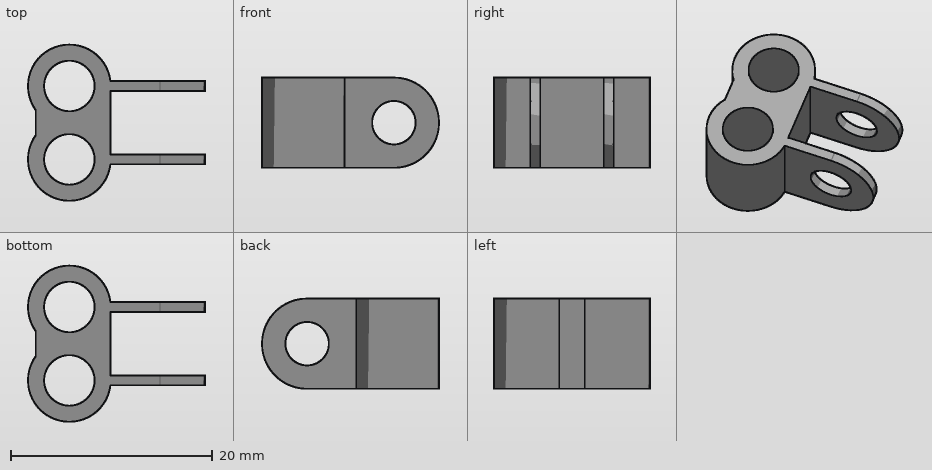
import cadquery as cq
import math

height = 9.0

tube_diameter = 8.25
bore_diameter = 5.0
tube_spacing = 7.3
tube_radius = tube_diameter / 2
tube_centers = [(0, -tube_spacing / 2), (0, tube_spacing / 2)]

lug_thickness = 1.0
lug_hole_diameter = 4.3
lug_hole_x = 9.0
lug_radius = height / 2

web_back_x = -3.35
web_front_x = math.sqrt(tube_radius**2 - (lug_thickness / 2) ** 2)


def make_tubes():
    """Two solid cylinders, bored later."""
    return cq.Workplane("XY").pushPoints(tube_centers).circle(tube_radius).extrude(height)


def make_web():
    """Block between the two tube axes."""
    return cq.Workplane("XY").box(
        web_front_x - web_back_x, tube_spacing, height, centered=(False, True, False)
    ).translate((web_back_x, 0, 0))


def make_lug(center_y):
    """Flat round-ended plate with a cross hole, starting at the tube axis."""
    plate = (
        cq.Workplane("XZ")
        .lineTo(lug_hole_x, 0)
        .threePointArc((lug_hole_x + lug_radius, lug_radius), (lug_hole_x, height))
        .lineTo(0, height)
        .close()
        .extrude(lug_thickness / 2, both=True)
    )
    hole = (
        cq.Workplane("XZ")
        .center(lug_hole_x, lug_radius)
        .circle(lug_hole_diameter / 2)
        .extrude(lug_thickness, both=True)
    )
    return plate.cut(hole).translate((0, center_y, 0))


def make_bores():
    """Through bores of both tubes."""
    return cq.Workplane("XY").pushPoints(tube_centers).circle(bore_diameter / 2).extrude(height)


body = make_tubes().union(make_web())
for _, tube_y in tube_centers:
    body = body.union(make_lug(tube_y))

result = body.cut(make_bores())